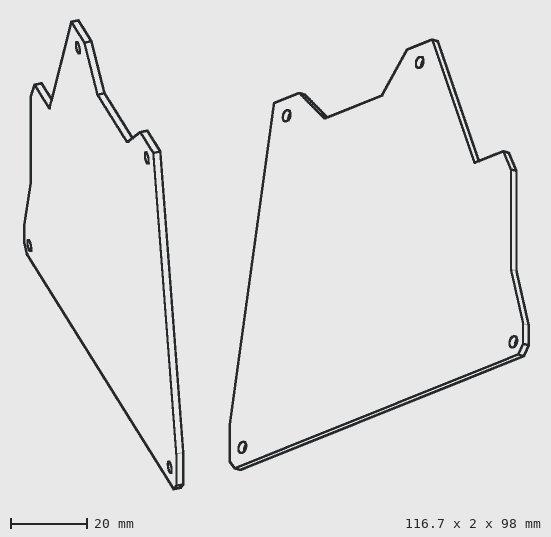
import cadquery as cq

width = 116.7
thickness = 2.0
height = 98.0

corner_run = 2.0
corner_rise = 2.5

foot_top = 8.0
waist_x = 4.9
waist_bottom = 24.7
waist_top = 52.7
shoulder_start_x = 7.9
shoulder_end_x = 19.4
shoulder_height = 58.7

tab_width = 10.0
left_tab_x = 36.2
right_tab_x = 99.1
notch_depth = 10.0
notch_run = 10.0

right_foot_top = 12.7

hole_diameter = 3.0
lower_left_hole = (4.0, 4.1)
lower_right_hole = (111.7, 5.0)
tab_hole_drop = 5.0
left_tab_hole_x = left_tab_x + tab_width / 2
right_tab_hole_x = right_tab_x - tab_width / 2
hole_centers = [
    lower_left_hole,
    lower_right_hole,
    (left_tab_hole_x, height - tab_hole_drop),
    (right_tab_hole_x, height - tab_hole_drop),
]

notch_left_x = left_tab_x + tab_width
notch_right_x = right_tab_x - tab_width
notch_floor = height - notch_depth

outline = [
    (corner_run, 0),
    (width - corner_run, 0),
    (width, corner_rise),
    (width, right_foot_top),
    (right_tab_x, height),
    (notch_right_x, height),
    (notch_right_x - notch_run, notch_floor),
    (notch_left_x + notch_run, notch_floor),
    (notch_left_x, height),
    (left_tab_x, height),
    (shoulder_end_x, shoulder_height),
    (shoulder_start_x, shoulder_height),
    (waist_x, waist_top),
    (waist_x, waist_bottom),
    (0, foot_top),
    (0, corner_rise),
]

plate = cq.Workplane("XZ").polyline(outline).close().extrude(thickness)
holes = cq.Workplane("XZ").pushPoints(hole_centers).circle(hole_diameter / 2).extrude(thickness)

result = plate.cut(holes)